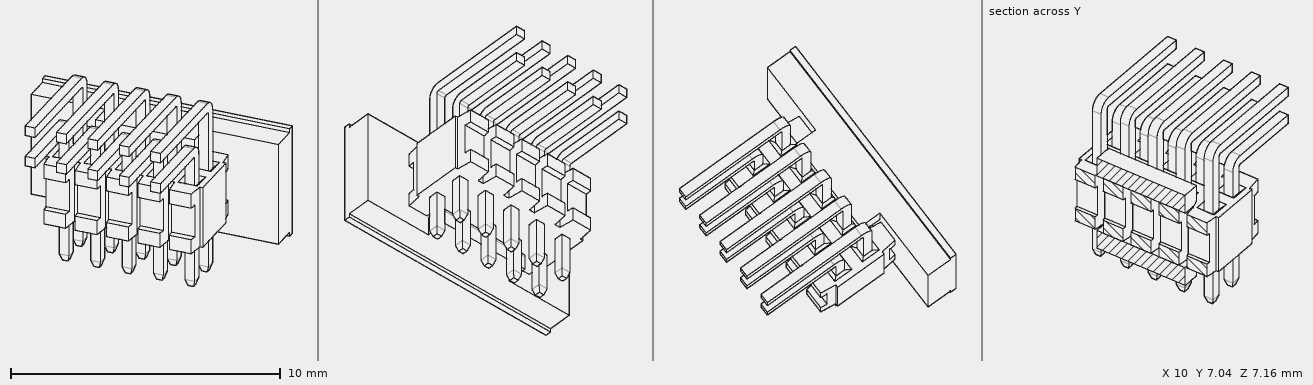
import cadquery as cq


columns = 5
pitch = 1.27
pin_width = 0.4
bend_inner_radius = 0.09
bend_outer_radius = bend_inner_radius + pin_width
arm_end_y = -4.0
upper_arm_top_z = 4.0
pin_bottom_z = -3.16
tip_length = 0.28
tip_width = 0.22

body_length = 6.34
body_depth = 2.15
body_height = 2.5
tooth_length = 0.64
tooth_root_width = 1.03
tooth_end_width = 0.88
notch_depth = 0.27
notch_height = 1.32
pocket_width = 0.78
pocket_depth = (pocket_width - pin_width) / 2

cap_length = 10.0
cap_back_y = 3.04
flange_thickness = 0.26
flange_height = 4.5
block_depth = 1.3
block_height = 4.18
jaw_length = 4.0
jaw_reach = 2.2
jaw_lip_radius = 0.25

column_xs = [(i - (columns - 1) / 2) * pitch for i in range(columns)]
back_row_y = pitch / 2
front_row_y = -pitch / 2
body_top_z = body_height / 2


def box_between(length, y_front, y_back, z_bottom, z_top):
    """Box centred on X = 0 between the given Y and Z limits."""
    return (
        cq.Workplane("XY", origin=(0, (y_front + y_back) / 2, (z_bottom + z_top) / 2))
        .box(length, y_back - y_front, z_top - z_bottom)
    )


def make_cap():
    """Flanged block with two jaws that grip the top and bottom of the insulator."""
    flange = box_between(
        cap_length, cap_back_y - flange_thickness, cap_back_y, -flange_height / 2, flange_height / 2
    )
    block_front_y = cap_back_y - block_depth
    block = box_between(cap_length, block_front_y, cap_back_y, -block_height / 2, block_height / 2)
    jaw_front_y = cap_back_y - jaw_reach
    upper_jaw = box_between(jaw_length, jaw_front_y, block_front_y, body_top_z, block_height / 2)
    upper_jaw = upper_jaw.edges("<Y and <Z").fillet(jaw_lip_radius)
    lower_jaw = upper_jaw.mirror("XY")
    return flange.union(block).union(upper_jaw).union(lower_jaw)


def make_front_tooth(x):
    """Tapered tooth on the front of the insulator, notched across the middle of its end."""
    root_y = -body_depth / 2
    end_y = root_y - tooth_length
    tooth = (
        cq.Workplane("XY")
        .polyline([
            (x - tooth_root_width / 2, root_y),
            (x - tooth_end_width / 2, end_y),
            (x + tooth_end_width / 2, end_y),
            (x + tooth_root_width / 2, root_y),
        ])
        .close()
        .extrude(body_height / 2, both=True)
    )
    notch = box_between(body_length, end_y, end_y + notch_depth, -notch_height / 2, notch_height / 2)
    return tooth.cut(notch)


def make_pocket(x, y):
    """Square funnel in the top of the insulator, narrowing to the pin."""
    return (
        cq.Workplane("XY", origin=(x, y, body_top_z))
        .rect(pocket_width, pocket_width)
        .workplane(offset=-pocket_depth)
        .rect(pin_width, pin_width)
        .loft(ruled=True)
    )


def make_pin(x, row_y, arm_top_z):
    """Square pin with a tapered lower tip, bent forward at the top into a level arm."""
    back_y = row_y + pin_width / 2
    front_y = row_y - pin_width / 2
    shoulder_z = pin_bottom_z + tip_length
    bent_bar = (
        cq.Workplane("YZ", origin=(x, 0, 0))
        .moveTo(back_y, shoulder_z)
        .lineTo(back_y, arm_top_z - bend_outer_radius)
        .radiusArc((back_y - bend_outer_radius, arm_top_z), -bend_outer_radius)
        .lineTo(arm_end_y, arm_top_z)
        .lineTo(arm_end_y, arm_top_z - pin_width)
        .lineTo(front_y - bend_inner_radius, arm_top_z - pin_width)
        .radiusArc((front_y, arm_top_z - bend_outer_radius), bend_inner_radius)
        .lineTo(front_y, shoulder_z)
        .close()
        .extrude(pin_width / 2, both=True)
    )
    tip = (
        cq.Workplane("XY", origin=(x, row_y, shoulder_z))
        .rect(pin_width, pin_width)
        .workplane(offset=-tip_length)
        .rect(tip_width, tip_width)
        .loft(ruled=True)
    )
    return bent_bar.union(tip)


def make_header():
    """Insulator with teeth front and back and two rows of pins fixed in it."""
    header = cq.Workplane("XY").box(body_length, body_depth, body_height)
    for x in column_xs:
        front_tooth = make_front_tooth(x)
        header = header.union(front_tooth).union(front_tooth.mirror("XZ"))

    pin_rows = [(back_row_y, upper_arm_top_z), (front_row_y, upper_arm_top_z - pitch)]
    for row_y, arm_top_z in pin_rows:
        for x in column_xs:
            header = header.cut(make_pocket(x, row_y))
            header = header.union(make_pin(x, row_y, arm_top_z))
    return header


cap = make_cap()
header = make_header()

result = cq.Compound.makeCompound([cap.val(), header.val()])